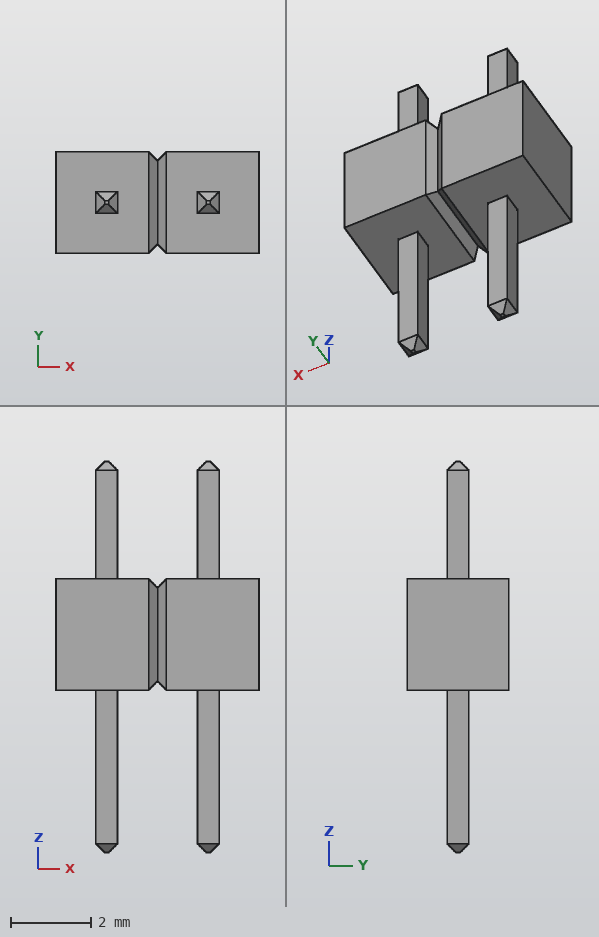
import cadquery as cq

pitch = 2.54
pin_count = 2
pin_width = 0.55
pin_length = 9.77
tip_bevel = 0.22

cell_width = pitch
housing_height = 2.78
neck_bevel = 0.22
pin_below = 4.05

pin_positions = [(i - (pin_count - 1) / 2) * pitch for i in range(pin_count)]


def make_pin(x):
    """Square pin with both ends beveled to a small flat."""
    bar = cq.Workplane("XY").box(pin_width, pin_width, pin_length, centered=(True, True, False))
    bar = bar.faces("<Z or >Z").chamfer(tip_bevel)
    return bar.translate((x, 0, -pin_below))


def make_cell(x, inner_sides):
    """Housing cell beveled around each side that faces a neighbour."""
    cell = cq.Workplane("XY").box(cell_width, cell_width, housing_height, centered=(True, True, False))
    for side in inner_sides:
        cell = cell.faces(side).chamfer(neck_bevel)
    return cell.translate((x, 0, 0))


def make_housing(pins):
    """Cells joined at their beveled sides, with a fitting through hole for each pin."""
    housing = cq.Workplane("XY")
    for i, x in enumerate(pin_positions):
        inner_sides = []
        if i > 0:
            inner_sides.append("<X")
        if i < pin_count - 1:
            inner_sides.append(">X")
        housing = housing.union(make_cell(x, inner_sides))
    for pin in pins:
        housing = housing.cut(pin)
    return housing


pins = [make_pin(x) for x in pin_positions]
housing = make_housing(pins)

result = cq.Compound.makeCompound([housing.solids().val(), *[pin.solids().val() for pin in pins]])